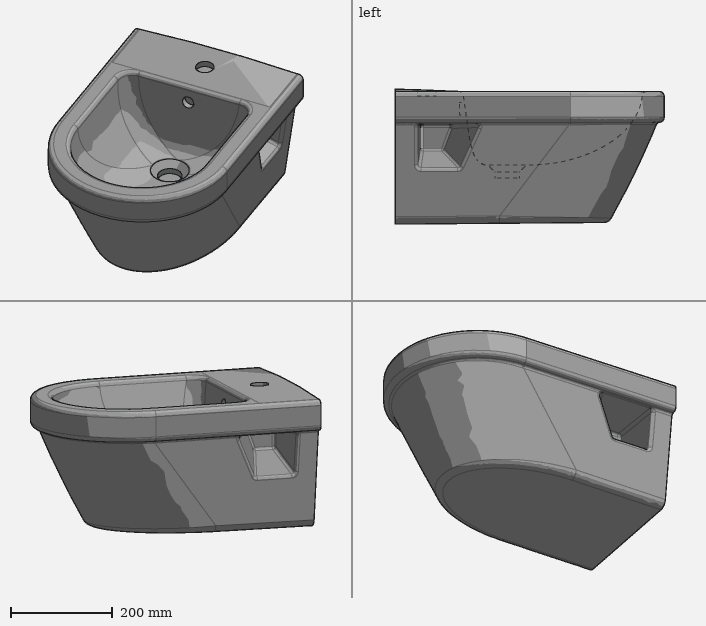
import cadquery as cq
import math

WIDTH = 369.78
DEPTH = 529.19
HEIGHT = 266.3

CROWN_RISE = 5.0
RIM_TOP = HEIGHT - CROWN_RISE
RIM_BOTTOM = 200.0
RIM_ROUND = 10.5
RIM_HALF_WIDTH = WIDTH / 2

BODY_TOP_HALF_WIDTH = 170.0
BODY_TOP_FRONT = 515.5
BODY_BASE_HALF_WIDTH = 143.0
BODY_BASE_FRONT = 418.0
BODY_BASE_NOSE = 225.0
BODY_FRONT_SWELL = 4.0
BODY_OVERLAP = 0.6
BASE_TILT_RISE = 3.3
BASE_ROUND = 17.0
NECK_ROUND = 6.0

DECK_HALF_WIDTH = 172.0
DECK_LENGTH = 124.0

TAP_HOLE_RADIUS = 18.0
TAP_HOLE_BACK = 62.0
TAP_HOLE_FLOOR = 252.0

BASIN_HALF_WIDTH = 140.5
BASIN_BACK = 133.0
BASIN_FRONT = 486.0
BASIN_CORNER = 30.0
BASIN_FLOOR = 116.0
BASIN_BACK_DRAFT = 20.0
BASIN_BACK_POWER = 8
BASIN_LEVEL_ANGLES = (0, 18, 36, 54, 70, 82, 90)
BASIN_LIP_ROUND = 9.0

DRAIN_BACK = 220.0
DRAIN_SEAT_RADIUS = 38.0
DRAIN_RADIUS = 24.0
DRAIN_SEAT_DEPTH = 13.0
DRAIN_HOLE_DEPTH = 12.0
DRAIN_FLOOR_REACH = 39.0
DRAIN_FLOOR_CORNER = 36.0

OVERFLOW_RADIUS = 12.0
OVERFLOW_HEIGHT = 227.0
OVERFLOW_MOUTH = 145.0
OVERFLOW_END = 126.0

POCKET_SILL = 108.0
POCKET_ROOF = 198.0
POCKET_MOUTH = [(-44.5, POCKET_ROOF), (-44.5, POCKET_SILL), (-130, POCKET_SILL), (-165.5, POCKET_ROOF)]
POCKET_FLOOR = [(-50, 196), (-50, 145), (-94, 145), (-113, 196)]
POCKET_MOUTH_X = 162.0
POCKET_FLOOR_X = 55.0
POCKET_OVERSHOOT = 0.2
POCKET_ROUND = 6.0
POCKET_MOUTH_ROUND = 7.0

MARGIN = 0.6


def d_outline(half_width, front, nose, z):
    """Outline that is square at the wall and ends in a half ellipse of length nose."""
    straight = front - nose
    return (
        cq.Workplane("XY", origin=(0, 0, z))
        .moveTo(-half_width, 0)
        .lineTo(-half_width, -straight)
        .ellipseArc(half_width, nose, 180, 360, sense=1)
        .lineTo(half_width, 0)
        .close()
    )


def make_rim():
    rim = d_outline(RIM_HALF_WIDTH, DEPTH, RIM_HALF_WIDTH, RIM_BOTTOM).extrude(RIM_TOP - RIM_BOTTOM)
    outer = rim.faces(">Z or <Z").edges("not(>Y)")
    return outer.fillet(RIM_ROUND)


def body_section(share):
    """Body outline at a share of its height, from 0 at the base to 1 inside the rim."""
    half_width = BODY_BASE_HALF_WIDTH + (BODY_TOP_HALF_WIDTH - BODY_BASE_HALF_WIDTH) * share
    front = BODY_BASE_FRONT + (BODY_TOP_FRONT - BODY_BASE_FRONT) * share
    nose = BODY_BASE_NOSE + (BODY_TOP_HALF_WIDTH - BODY_BASE_NOSE) * share
    swell = BODY_FRONT_SWELL * math.sin(math.pi * share)
    z = (RIM_BOTTOM + BODY_OVERLAP) * share
    return d_outline(half_width, front + swell, nose + swell, z).val()


def make_body():
    sections = [body_section(share) for share in (0, 0.5, 1)]
    body = cq.Workplane(cq.Solid.makeLoft(sections, False))
    tilt_rise_at_rim_front = BASE_TILT_RISE * DEPTH / BODY_BASE_FRONT
    wedge = (
        cq.Workplane("YZ")
        .polyline([(0, 0), (-DEPTH, 0), (-DEPTH, tilt_rise_at_rim_front)])
        .close()
        .extrude(RIM_HALF_WIDTH, both=True)
    )
    body = body.cut(wedge)
    return body.faces("<Z").edges("not(>Y)").fillet(BASE_ROUND)


def make_deck():
    """Thin cap under a surface ruled from an arc at the wall to a straight line in front."""
    left = cq.Vector(-DECK_HALF_WIDTH, 0, RIM_TOP)
    right = cq.Vector(DECK_HALF_WIDTH, 0, RIM_TOP)
    forward = cq.Vector(0, -DECK_LENGTH, 0)
    arc = cq.Edge.makeThreePointArc(left, cq.Vector(0, 0, HEIGHT), right)
    chord = cq.Edge.makeLine(left, right)
    front = cq.Edge.makeLine(left + forward, right + forward)
    left_side = cq.Edge.makeLine(left, left + forward)
    right_side = cq.Edge.makeLine(right, right + forward)
    crown = cq.Face.makeRuledSurface(arc, front)
    back = cq.Face.makeFromWires(cq.Wire.assembleEdges([arc, chord]))
    base = cq.Face.makeFromWires(cq.Wire.assembleEdges([chord, right_side, front, left_side]))
    return cq.Workplane(cq.Solid.makeSolid(cq.Shell.makeShell([crown, back, base])))


def basin_section(angle):
    """Basin outline at one level; the angle runs from 0 at the lip to 90 at the floor."""
    drop = math.sin(math.radians(angle))
    spread = math.cos(math.radians(angle))
    half = DRAIN_FLOOR_REACH + (BASIN_HALF_WIDTH - DRAIN_FLOOR_REACH) * spread
    floor_front = DRAIN_BACK + DRAIN_FLOOR_REACH
    floor_back = DRAIN_BACK - DRAIN_FLOOR_REACH
    front = floor_front + (BASIN_FRONT - floor_front) * spread
    bend = 1 - math.sqrt(1 - drop ** BASIN_BACK_POWER)
    bend_reach = floor_back - BASIN_BACK - BASIN_BACK_DRAFT
    back = BASIN_BACK + BASIN_BACK_DRAFT * drop + bend_reach * bend
    corner = BASIN_CORNER + (DRAIN_FLOOR_CORNER - BASIN_CORNER) * drop
    inset = corner * (1 - math.sqrt(0.5))
    z = RIM_TOP - (RIM_TOP - BASIN_FLOOR) * drop
    return (
        cq.Workplane("XY", origin=(0, 0, z))
        .moveTo(half - corner, -back)
        .threePointArc((half - inset, -back - inset), (half, -back - corner))
        .lineTo(half, -front + half)
        .threePointArc((0, -front), (-half, -front + half))
        .lineTo(-half, -back - corner)
        .threePointArc((-half + inset, -back - inset), (-half + corner, -back))
        .close()
        .val()
    )


def make_basin():
    sections = [basin_section(angle) for angle in BASIN_LEVEL_ANGLES]
    return cq.Workplane(cq.Solid.makeLoft(sections, False))


def make_drain():
    seat_bottom = BASIN_FLOOR - DRAIN_SEAT_DEPTH
    hole_bottom = seat_bottom - DRAIN_HOLE_DEPTH
    profile = [
        (0, BASIN_FLOOR),
        (DRAIN_SEAT_RADIUS, BASIN_FLOOR),
        (DRAIN_RADIUS, seat_bottom),
        (DRAIN_RADIUS, hole_bottom),
        (0, hole_bottom),
    ]
    drain = cq.Workplane("XZ").polyline(profile).close().revolve(360, (0, 0), (0, 1))
    return drain.translate((0, -DRAIN_BACK, 0))


def make_tap_hole():
    return (
        cq.Workplane("XY", origin=(0, -TAP_HOLE_BACK, TAP_HOLE_FLOOR))
        .circle(TAP_HOLE_RADIUS)
        .extrude(HEIGHT - TAP_HOLE_FLOOR)
    )


def make_overflow():
    return (
        cq.Workplane("XZ", origin=(0, -OVERFLOW_END, OVERFLOW_HEIGHT))
        .circle(OVERFLOW_RADIUS)
        .extrude(OVERFLOW_MOUTH - OVERFLOW_END)
    )


def pocket_wire(x, corners):
    points = [cq.Vector(x, y, z) for y, z in corners]
    return cq.Wire.makePolygon(points, close=True)


def past_mouth(mouth_corner, floor_corner):
    """Carry a pocket edge outward beyond the mouth, along its own line."""
    return tuple(m + (m - f) * POCKET_OVERSHOOT for m, f in zip(mouth_corner, floor_corner))


def make_pocket():
    """Tapered pocket in the -X side, carried past the mouth so that it opens cleanly."""
    outer_x = POCKET_MOUTH_X + (POCKET_MOUTH_X - POCKET_FLOOR_X) * POCKET_OVERSHOOT
    outer_corners = [past_mouth(m, f) for m, f in zip(POCKET_MOUTH, POCKET_FLOOR)]
    outer = pocket_wire(-outer_x, outer_corners)
    floor = pocket_wire(-POCKET_FLOOR_X, POCKET_FLOOR)
    pocket = cq.Workplane(cq.Solid.makeLoft([outer, floor], True))
    return pocket.edges("not(<X)").fillet(POCKET_ROUND)


def edges_within(part, x_range, y_range, z_range):
    """Edges lying wholly inside a box given by its three ranges."""
    low, high = zip(x_range, y_range, z_range)
    return part.edges(cq.selectors.BoxSelector(low, high, boundingbox=True))


def join_body_to_rim():
    joined = make_rim().union(make_body())
    level = (RIM_BOTTOM - MARGIN, RIM_BOTTOM + MARGIN)
    reach = BODY_TOP_HALF_WIDTH + MARGIN
    neck = edges_within(joined, (-reach, reach), (-BODY_TOP_FRONT, MARGIN), level)
    return neck.fillet(NECK_ROUND)


def cut_pockets(part):
    left_pocket = make_pocket()
    part = part.cut(left_pocket).cut(left_pocket.mirror("YZ"))
    inner_x = BODY_BASE_HALF_WIDTH + POCKET_ROUND
    outer_x = BODY_TOP_HALF_WIDTH + NECK_ROUND
    y_range = (-outer_x, -POCKET_ROUND)
    z_range = (POCKET_SILL - NECK_ROUND, RIM_BOTTOM + MARGIN)
    for x_range in ((-outer_x, -inner_x), (inner_x, outer_x)):
        part = edges_within(part, x_range, y_range, z_range).fillet(POCKET_MOUTH_ROUND)
    return part


def cut_basin(part):
    part = part.cut(make_basin())
    level = (RIM_TOP - MARGIN, RIM_TOP + MARGIN)
    reach = BASIN_HALF_WIDTH + MARGIN
    y_range = (-BASIN_FRONT - MARGIN, -BASIN_BACK + MARGIN)
    lip = edges_within(part, (-reach, reach), y_range, level)
    return lip.fillet(BASIN_LIP_ROUND).cut(make_drain()).cut(make_overflow())


result = join_body_to_rim()
result = cut_pockets(result)
result = cut_basin(result)
result = result.union(make_deck())
result = result.cut(make_tap_hole())